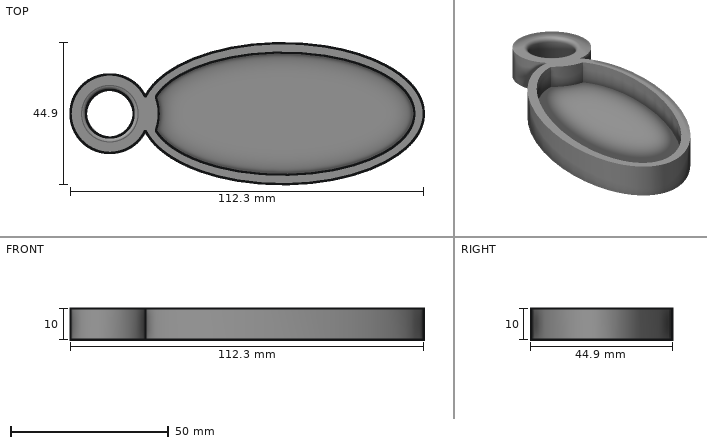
import cadquery as cq

overall_length = 112.3
tag_length = 89.9
tag_width = 44.9
height = 10.0

eyelet_diameter = 25.0
hole_diameter = 15.0
hole_rounding = 1.5

rim_width = 3.0
floor_thickness = 3.0

eyelet_x = tag_length / 2 - overall_length + eyelet_diameter / 2


def cylinder_at_eyelet(diameter):
    """Full-height cylinder on the eyelet axis."""
    return cq.Workplane("XY").center(eyelet_x, 0).circle(diameter / 2).extrude(height)


def make_pocket():
    """Pocket following the tag edge, kept one rim width away from the eyelet."""
    pocket = (
        cq.Workplane("XY")
        .workplane(offset=floor_thickness)
        .ellipse(tag_length / 2 - rim_width, tag_width / 2 - rim_width)
        .extrude(height - floor_thickness)
    )
    return pocket.cut(cylinder_at_eyelet(eyelet_diameter + 2 * rim_width))


def make_eyelet_hole(body):
    """Through hole with its upper mouth rounded over."""
    drilled = body.cut(cylinder_at_eyelet(hole_diameter))
    mouth = cq.selectors.RadiusNthSelector(0)
    return drilled.faces(">Z").edges("%CIRCLE").edges(mouth).fillet(hole_rounding)


tag = cq.Workplane("XY").ellipse(tag_length / 2, tag_width / 2).extrude(height)
body = tag.union(cylinder_at_eyelet(eyelet_diameter))

result = make_eyelet_hole(body).cut(make_pocket())